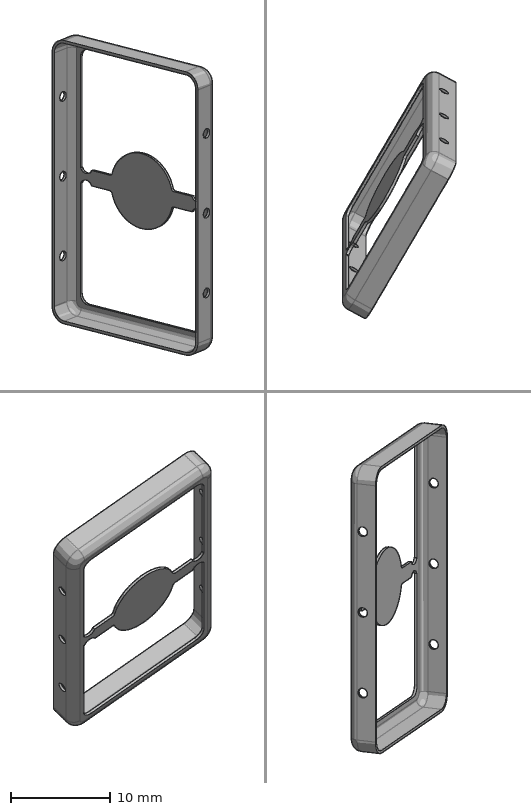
import cadquery as cq
import math

width = 18.9
depth = 3.0
height = 30.2

wall = 0.3
floor_thickness = 0.3
corner_radius = 1.6
outer_edge_radius = 1.0
inner_edge_radius = outer_edge_radius - wall

window_margin = 1.5
window_corner_radius = 1.0
window_width = width - 2 * window_margin
window_height = height - 2 * window_margin

disc_radius = 4.0
arm_height = 1.65
arm_root_radius = 0.3

neck_height = 0.7
notch_radius = 0.75

side_hole_diameter = 1.0
side_hole_pitch = 8.5
side_hole_y = 1.4


def rounded_block(size_x, size_z, corner, y_start, y_end):
    """Block centred on the Y axis with its four Y-parallel edges rounded."""
    return (
        cq.Workplane("XZ", origin=(0, y_start, 0))
        .rect(size_x, size_z)
        .extrude(y_start - y_end)
        .edges("|Y")
        .fillet(corner)
    )


def floor_prism(sketch):
    """Extrude a closed profile on the floor's inner face to the back face."""
    return sketch.extrude(-floor_thickness)


def floor_plane():
    return cq.Workplane("XZ", origin=(0, depth - floor_thickness, 0))


def make_shell():
    """Thin-walled tray with concentric outer and inner rounded edges."""
    outer = rounded_block(width, height, corner_radius, 0, depth)
    outer = outer.faces(">Y").edges().fillet(outer_edge_radius)
    cavity = rounded_block(
        width - 2 * wall,
        height - 2 * wall,
        corner_radius - wall,
        0,
        depth - floor_thickness,
    )
    cavity = cavity.faces(">Y").edges().fillet(inner_edge_radius)
    return outer.cut(cavity)


def make_window():
    return rounded_block(
        window_width, window_height, window_corner_radius, depth - floor_thickness, depth
    )


def make_bridge():
    """Disc on two arms spanning the window, with filleted roots and notched ends."""
    disc = floor_prism(floor_plane().circle(disc_radius))
    arm_span = window_width + 2 * (window_margin - outer_edge_radius)
    arms = floor_prism(floor_plane().rect(arm_span, arm_height))

    root_x = math.sqrt(disc_radius**2 - (arm_height / 2) ** 2)
    root_zone = cq.selectors.BoxSelector(
        (-root_x - arm_root_radius, 0, -arm_height),
        (root_x + arm_root_radius, depth, arm_height),
    )
    bridge = disc.union(arms).edges("|Y").edges(root_zone).fillet(arm_root_radius)

    notch_x = window_width / 2 - notch_radius
    notch_z = neck_height / 2 + notch_radius
    notch_centres = [(sx * notch_x, sz * notch_z) for sx in (-1, 1) for sz in (-1, 1)]
    notches = floor_prism(floor_plane().pushPoints(notch_centres).circle(notch_radius))
    return bridge.cut(notches)


def make_side_holes():
    """Row of round holes passing through both side walls along X."""
    hole_centres = [(side_hole_y, i * side_hole_pitch) for i in (-1, 0, 1)]
    return (
        cq.Workplane("YZ", origin=(-width / 2, 0, 0))
        .pushPoints(hole_centres)
        .circle(side_hole_diameter / 2)
        .extrude(width)
    )


result = make_shell().cut(make_window()).union(make_bridge()).cut(make_side_holes())